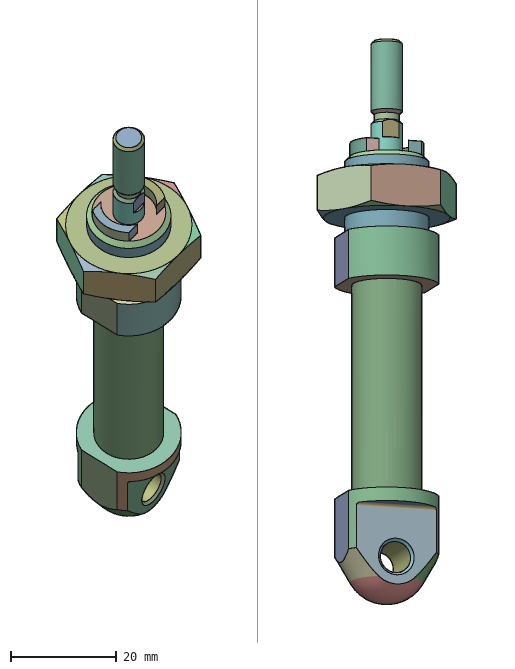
import cadquery as cq
import math

TOTAL_HEIGHT = 109.0
ROD_DIAMETER = 6.0
THREAD_DIAMETER = 16.0
COLLAR_DIAMETER = 20.0
COLLAR_FLATS = 18.0

TIP_CHAMFER = 0.5
ROD_THREAD_BOTTOM = 95.4
NECK_DIAMETER = 4.8
SHOULDER_TOP = 93.5
WRENCH_FLATS = 5.0
WRENCH_BOTTOM = 89.9

TAB_TOP = 89.2
NOSE_TOP = 86.5
TAB_WIDTH = 8.8
TAB_INNER_DIAMETER = 10.6
NOSE_CHAMFER = 1.0
TAB_OUTER_DIAMETER = THREAD_DIAMETER - 2 * NOSE_CHAMFER
COLLAR_TOP = 71.2
COLLAR_BOTTOM = 61.7
TUBE_DIAMETER = 13.3
FLANGE_TOP = 20.6
FLANGE_BOTTOM = 18.0
TANG_THICKNESS = 12.0
TANG_FILLET = 0.7
DOME_RADIUS = THREAD_DIAMETER / 2
TAIL_CONE_ANGLE = 60.0
PIVOT_HOLE_DIAMETER = 6.0
PIVOT_CHAMFER = 0.5
ROD_BORE_BOTTOM = COLLAR_BOTTOM

NUT_ACROSS_FLATS = 24.0
NUT_TOP = 82.8
NUT_BOTTOM = 74.8
NUT_CORNER_DROP = 0.7


def cylinder(diameter, bottom, top):
    return cq.Workplane("XY").workplane(offset=bottom).circle(diameter / 2).extrude(top - bottom)


def block(size_x, size_y, bottom, top):
    return cq.Workplane("XY").workplane(offset=bottom).rect(size_x, size_y).extrude(top - bottom)


def revolved(profile):
    """Turn a closed profile of (radius, height) points about the Z axis."""
    return profile.close().revolve(360, (0, 0, 0), (0, 1, 0))


def make_rod():
    rod_radius = ROD_DIAMETER / 2
    neck_radius = NECK_DIAMETER / 2
    neck_top = ROD_THREAD_BOTTOM - (rod_radius - neck_radius)
    shoulder_bottom = SHOULDER_TOP - (rod_radius - neck_radius)
    rod = revolved(cq.Workplane("XZ").polyline([
        (0, ROD_BORE_BOTTOM),
        (rod_radius, ROD_BORE_BOTTOM),
        (rod_radius, shoulder_bottom),
        (neck_radius, SHOULDER_TOP),
        (neck_radius, neck_top),
        (rod_radius, ROD_THREAD_BOTTOM),
        (rod_radius, TOTAL_HEIGHT - TIP_CHAMFER),
        (rod_radius - TIP_CHAMFER, TOTAL_HEIGHT),
        (0, TOTAL_HEIGHT),
    ]))
    wrench_zone = block(ROD_DIAMETER, ROD_DIAMETER, WRENCH_BOTTOM, SHOULDER_TOP)
    kept_core = block(WRENCH_FLATS, ROD_DIAMETER, WRENCH_BOTTOM, SHOULDER_TOP)
    return rod.cut(wrench_zone.cut(kept_core))


def make_nut():
    corner_diameter = NUT_ACROSS_FLATS / math.cos(math.radians(30))
    corner_radius = corner_diameter / 2
    face_radius = NUT_ACROSS_FLATS / 2
    hexagon = (
        cq.Workplane("XY").workplane(offset=NUT_BOTTOM)
        .polygon(6, corner_diameter).extrude(NUT_TOP - NUT_BOTTOM)
        .rotate((0, 0, 0), (0, 0, 1), 30)
    )
    chamfer_envelope = revolved(cq.Workplane("XZ").polyline([
        (0, NUT_BOTTOM),
        (face_radius, NUT_BOTTOM),
        (corner_radius, NUT_BOTTOM + NUT_CORNER_DROP),
        (corner_radius, NUT_TOP - NUT_CORNER_DROP),
        (face_radius, NUT_TOP),
        (0, NUT_TOP),
    ]))
    return hexagon.intersect(chamfer_envelope).cut(cylinder(THREAD_DIAMETER, NUT_BOTTOM, NUT_TOP))


def make_tabs():
    """Two curved tabs standing on the nose, on the -Y and +Y sides."""
    ring = cylinder(TAB_OUTER_DIAMETER, NOSE_TOP, TAB_TOP).cut(
        cylinder(TAB_INNER_DIAMETER, NOSE_TOP, TAB_TOP))
    return ring.intersect(block(TAB_WIDTH, TAB_OUTER_DIAMETER, NOSE_TOP, TAB_TOP))


def make_head():
    nose = cylinder(THREAD_DIAMETER, COLLAR_TOP, NOSE_TOP).faces(">Z").chamfer(NOSE_CHAMFER)
    collar = cylinder(COLLAR_DIAMETER, COLLAR_BOTTOM, COLLAR_TOP).intersect(
        block(COLLAR_DIAMETER, COLLAR_FLATS, COLLAR_BOTTOM, COLLAR_TOP))
    return nose.union(collar).union(make_tabs())


def cut_pivot_chamfers(tail):
    """Break the rim of the pivot hole on both tang faces."""
    hole_radius = PIVOT_HOLE_DIAMETER / 2
    for side in (-1, 1):
        rim_centre = cq.Vector(side * TANG_THICKNESS / 2, 0, DOME_RADIUS)
        countersink = cq.Solid.makeCone(
            hole_radius + PIVOT_CHAMFER, hole_radius, PIVOT_CHAMFER, rim_centre, cq.Vector(-side, 0, 0))
        tail = tail.cut(cq.Workplane(countersink))
    return tail


def make_tail():
    """Flanged tail with a pivot tang that ends in a cone and a tangent dome."""
    slope = math.radians(TAIL_CONE_ANGLE)
    flange_radius = COLLAR_DIAMETER / 2
    dome_edge_radius = DOME_RADIUS * math.sin(slope)
    dome_edge_height = DOME_RADIUS * (1 - math.cos(slope))
    cone_top = dome_edge_height + (flange_radius - dome_edge_radius) * math.tan(slope)
    dome_middle = (DOME_RADIUS * math.sin(slope / 2), DOME_RADIUS * (1 - math.cos(slope / 2)))
    blank = revolved(
        cq.Workplane("XZ").moveTo(0, 0)
        .threePointArc(dome_middle, (dome_edge_radius, dome_edge_height))
        .lineTo(flange_radius, cone_top)
        .lineTo(flange_radius, FLANGE_TOP)
        .lineTo(0, FLANGE_TOP)
    )
    tang = block(TANG_THICKNESS, COLLAR_FLATS, 0, FLANGE_BOTTOM)
    flange = block(COLLAR_DIAMETER, COLLAR_FLATS, FLANGE_BOTTOM, FLANGE_TOP)
    root_reach = TANG_THICKNESS / 2 + TANG_FILLET
    tang_root = cq.selectors.BoxSelector(
        (-root_reach, -COLLAR_FLATS, FLANGE_BOTTOM - TANG_FILLET),
        (root_reach, COLLAR_FLATS, FLANGE_BOTTOM + TANG_FILLET))
    outline = tang.union(flange).edges("|Y").edges(tang_root).fillet(TANG_FILLET)
    pivot_hole = (
        cq.Workplane("YZ", origin=(-TANG_THICKNESS / 2, 0, DOME_RADIUS))
        .circle(PIVOT_HOLE_DIAMETER / 2).extrude(TANG_THICKNESS)
    )
    tail = blank.intersect(outline).cut(pivot_hole)
    return cut_pivot_chamfers(tail)


def make_housing():
    tube = cylinder(TUBE_DIAMETER, FLANGE_TOP, COLLAR_BOTTOM)
    rod_bore = cylinder(ROD_DIAMETER, ROD_BORE_BOTTOM, NOSE_TOP)
    return make_head().union(tube).union(make_tail()).cut(rod_bore)


housing = make_housing()
rod = make_rod()
nut = make_nut()
result = cq.Compound.makeCompound([housing.val(), rod.val(), nut.val()])